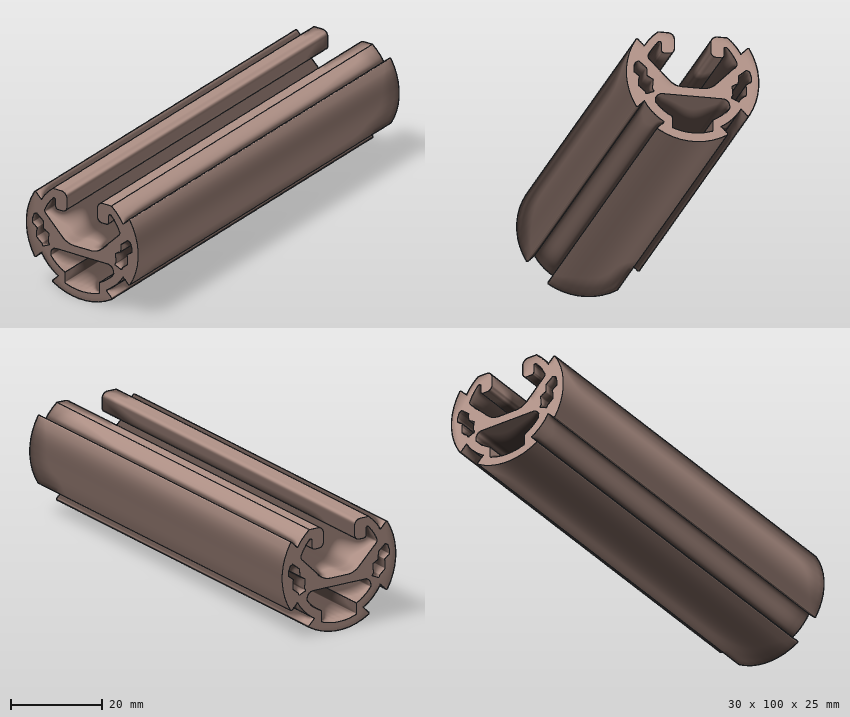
import cadquery as cq
import math

length = 100.0

outer_radius = 15.0
web_radius = 12.7
channel_radius = 10.9
chamber_radius = 10.6
foot_inner_radius = 13.0

top_z = 10.0
slot_half = 4.1
lip_outer_x = 7.1
lip_bottom_z = 5.2
floor_z = -2.4
floor_half = 4.0
lip_top_fillet = 1.5
lip_bottom_fillet = 1.2
lip_heel_fillet = 0.6
pocket_fillet = 0.4
channel_corner_fillet = 0.8
floor_fillet = 4.2

chamber_top_z = -4.4
chamber_side_x = 8.4
neck_half = 4.6
chamber_top_fillet = 1.6
chamber_side_fillet = 0.5
neck_fillet = 0.4

wing_root_x = 10.9
wing_root_z = 6.4
foot_root_x = 6.4
foot_root_z = -10.9
tip_fillet = 0.3
notch_reach = 6.0

wing_hollow = [
    (12.2, 2.8), (10.4, 1.3), (10.3, -0.5), (8.9, -1.3), (9.1, -3.4), (8.7, -4.0),
    (10.5, -4.8), (10.8, -4.2), (12.2, -3.0), (12.2, -1.5), (12.0, -0.8), (13.3, 0.2),
    (13.3, 1.2), (12.9, 2.4),
]
wing_hollow_fillet = 0.2


def on_circle(radius, x):
    """Height of a circle of the given radius above the axis at x."""
    return math.sqrt(radius**2 - x**2)


def flank_end(root_x, root_z):
    """Point where a 45 degree flank rising from the given root meets the outer circle."""
    offset = root_x - root_z
    z = (math.sqrt(2 * outer_radius**2 - offset**2) - offset) / 2
    return z + offset, z


def section():
    """Start a cross-section sketch, with its plane axes along X and Z."""
    return cq.Workplane("XZ")


def bar(outline):
    """Extrude a closed outline over the full length, centred on y = 0."""
    return outline.extrude(length / 2, both=True)


def round_pair(solid, x, z, radius):
    """Round the lengthwise edges at (x, z) and (-x, z)."""
    for side in (1, -1):
        point = (side * x, 0, z)
        solid = solid.edges("|Y").edges(cq.selectors.NearestToPointSelector(point)).fillet(radius)
    return solid


def both_sides(solid):
    """Join a solid with its mirror image across x = 0."""
    return solid.union(solid.mirror("YZ"))


def make_blank():
    """Round bar with its top cut flat."""
    disk = bar(section().circle(outer_radius))
    crop = bar(section().center(0, top_z - outer_radius).rect(2 * outer_radius, 2 * outer_radius))
    return disk.intersect(crop)


def make_notches():
    """Everything outside the web circle between wing and lip, and between wing and foot."""
    flank_x = wing_root_x + notch_reach
    flank_z = wing_root_z + notch_reach
    upper = bar(section().polyline([
        (wing_root_x, wing_root_z), (flank_x, flank_z), (0, flank_z), (0, wing_root_z),
    ]).close())
    lower = bar(section().polyline([
        (wing_root_x, -wing_root_z), (flank_x, -flank_z),
        (foot_root_x + notch_reach, foot_root_z - notch_reach), (foot_root_x, foot_root_z),
    ]).close())
    core = bar(section().circle(web_radius))
    return both_sides(upper.union(lower).cut(core))


def make_channel():
    """Open channel: a slot between the lips, undercut behind them, ramps down to a flat floor."""
    pocket_z = on_circle(channel_radius, lip_outer_x)
    ramp_drop = floor_half - floor_z
    channel_corner_x = (ramp_drop + math.sqrt(2 * channel_radius**2 - ramp_drop**2)) / 2
    corner_z = channel_corner_x - ramp_drop
    middle_x = (lip_outer_x + channel_corner_x) / 2
    tool = bar(
        section().moveTo(0, floor_z)
        .lineTo(floor_half, floor_z)
        .lineTo(channel_corner_x, corner_z)
        .threePointArc((middle_x, on_circle(channel_radius, middle_x)), (lip_outer_x, pocket_z))
        .lineTo(lip_outer_x, lip_bottom_z)
        .lineTo(slot_half, lip_bottom_z)
        .lineTo(slot_half, outer_radius)
        .lineTo(0, outer_radius)
        .close()
    )
    tool = both_sides(tool).clean()
    tool = round_pair(tool, floor_half, floor_z, floor_fillet)
    tool = round_pair(tool, channel_corner_x, corner_z, channel_corner_fillet)
    tool = round_pair(tool, lip_outer_x, pocket_z, pocket_fillet)
    tool = round_pair(tool, lip_outer_x, lip_bottom_z, lip_heel_fillet)
    return round_pair(tool, slot_half, lip_bottom_z, lip_bottom_fillet)


def make_chamber():
    """Closed chamber that narrows to a neck above the foot."""
    corner_z = -on_circle(chamber_radius, chamber_side_x)
    shoulder_z = -on_circle(chamber_radius, neck_half)
    neck_z = -on_circle(foot_inner_radius, neck_half)
    middle_x = (chamber_side_x + neck_half) / 2
    tool = bar(
        section().moveTo(-chamber_side_x, chamber_top_z)
        .lineTo(chamber_side_x, chamber_top_z)
        .lineTo(chamber_side_x, corner_z)
        .threePointArc((middle_x, -on_circle(chamber_radius, middle_x)), (neck_half, shoulder_z))
        .lineTo(neck_half, neck_z)
        .threePointArc((0, -foot_inner_radius), (-neck_half, neck_z))
        .lineTo(-neck_half, shoulder_z)
        .threePointArc((-middle_x, -on_circle(chamber_radius, middle_x)), (-chamber_side_x, corner_z))
        .close()
    )
    tool = round_pair(tool, chamber_side_x, chamber_top_z, chamber_top_fillet)
    tool = round_pair(tool, chamber_side_x, corner_z, chamber_side_fillet)
    return round_pair(tool, neck_half, neck_z, neck_fillet)


def make_wing_hollows():
    """Closed twin-lobed hollow in each wing."""
    hollow = bar(section().polyline(wing_hollow).close())
    return both_sides(hollow.edges("|Y").fillet(wing_hollow_fillet))


result = make_blank().cut(make_notches()).cut(make_channel()).cut(make_chamber()).cut(make_wing_hollows())
result = round_pair(result, slot_half, top_z, lip_top_fillet)

wing_tip_x, wing_tip_z = flank_end(wing_root_x, wing_root_z)
for height in (wing_tip_z, -wing_tip_z):
    result = round_pair(result, wing_tip_x, height, tip_fillet)
foot_tip_x, foot_tip_depth = flank_end(foot_root_x, -foot_root_z)
result = round_pair(result, foot_tip_x, -foot_tip_depth, tip_fillet)